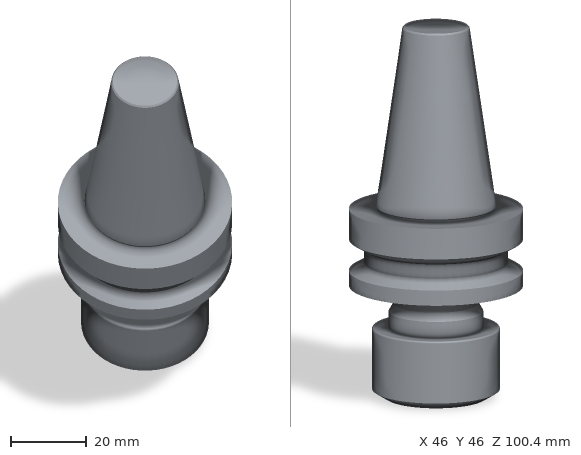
import cadquery as cq
import math

total_height = 100.4

nut_radius = 33.7 / 2
nut_height = 18.9
nut_face_chamfer_height = 2.1
nut_face_chamfer_angle = 32.0
nut_face_radius = nut_radius - nut_face_chamfer_height / math.tan(math.radians(nut_face_chamfer_angle))
nut_back_fillet = 0.5

collar_radius = 25.0 / 2
collar_top = 23.2
neck_radius = 22.5 / 2
neck_bottom = 25.4
neck_fillet = 2.0

flange_radius = 46.0 / 2
flange_bottom = 30.1
flange_top = 51.0
groove_floor_radius = 38.0 / 2
groove_center = 38.5
groove_floor_width = 3.8
groove_flank_angle = 30.0
groove_depth = flange_radius - groove_floor_radius
groove_mouth_width = groove_floor_width + 2 * groove_depth * math.tan(math.radians(groove_flank_angle))

taper_ratio = 7 / 24
taper_base = 51.8
taper_base_radius = 31.8 / 2
taper_end_radius = taper_base_radius - (total_height - taper_base) * taper_ratio / 2
taper_end_chamfer = 0.4
relief_radius = 31.1 / 2
relief_top = taper_base - (taper_base_radius - relief_radius)


def revolved(profile):
    """Close a half profile of X = radius, Y = height and turn it about Z."""
    return profile.close().revolve(360, (0, 0, 0), (0, 1, 0))


def make_nut():
    return revolved(
        cq.Workplane("XZ")
        .lineTo(nut_face_radius, 0)
        .lineTo(nut_radius, nut_face_chamfer_height)
        .lineTo(nut_radius, nut_height - nut_back_fillet)
        .radiusArc((nut_radius - nut_back_fillet, nut_height), -nut_back_fillet)
        .lineTo(0, nut_height)
    )


def make_neck():
    fillet_bottom = flange_bottom - neck_fillet
    return revolved(
        cq.Workplane("XZ")
        .moveTo(0, nut_height)
        .lineTo(collar_radius, nut_height)
        .lineTo(collar_radius, collar_top)
        .lineTo(neck_radius, neck_bottom)
        .lineTo(neck_radius, fillet_bottom)
        .radiusArc((neck_radius + neck_fillet, flange_bottom), neck_fillet)
        .lineTo(0, flange_bottom)
    )


def make_flange():
    half_mouth = groove_mouth_width / 2
    half_floor = groove_floor_width / 2
    return revolved(
        cq.Workplane("XZ")
        .moveTo(0, flange_bottom)
        .lineTo(flange_radius, flange_bottom)
        .lineTo(flange_radius, groove_center - half_mouth)
        .lineTo(groove_floor_radius, groove_center - half_floor)
        .lineTo(groove_floor_radius, groove_center + half_floor)
        .lineTo(flange_radius, groove_center + half_mouth)
        .lineTo(flange_radius, flange_top)
        .lineTo(0, flange_top)
    )


def make_taper():
    chamfer_base = total_height - taper_end_chamfer
    chamfer_base_radius = taper_end_radius + taper_end_chamfer * taper_ratio / 2
    return revolved(
        cq.Workplane("XZ")
        .moveTo(0, flange_top)
        .lineTo(relief_radius, flange_top)
        .lineTo(relief_radius, relief_top)
        .lineTo(taper_base_radius, taper_base)
        .lineTo(chamfer_base_radius, chamfer_base)
        .lineTo(chamfer_base_radius - taper_end_chamfer, total_height)
        .lineTo(0, total_height)
    )


result = make_nut().union(make_neck()).union(make_flange()).union(make_taper())